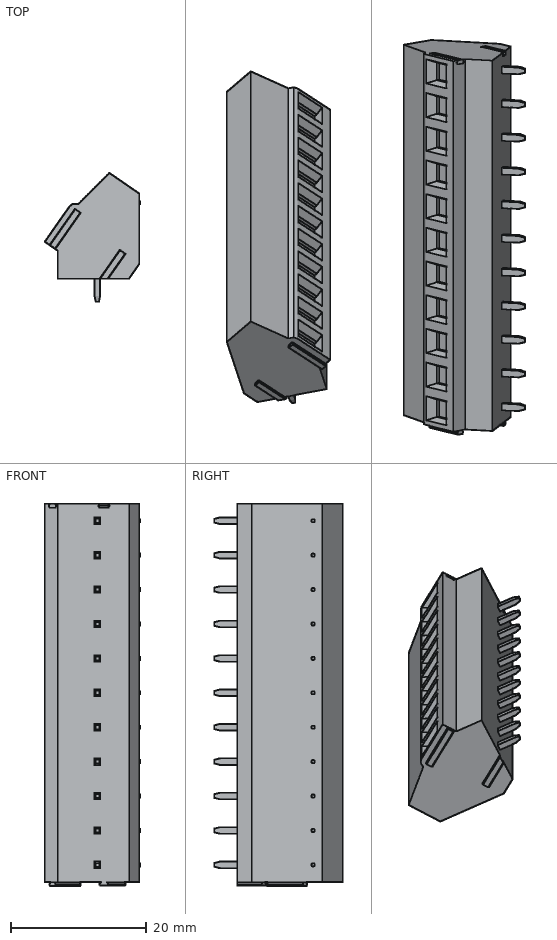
import cadquery as cq
import math

pole_count = 11
pitch = 5.08
housing_height = pole_count * pitch
pole_heights = [(index + 0.5) * pitch for index in range(pole_count)]

housing_width = 12.07
housing_depth = 15.63
apex_x = 7.65
right_wall_top_y = 12.58
right_chamfer_x = 1.52
right_chamfer_y = 2.18

slant_angle = 55
plate_corner = (-1.9, 5.46)
plate_face_top_y = 10.72
plate_top_y = 11.06
plate_top_bevel_x = 0.45

entry_width = 3.65
entry_floor_width = 2.65
entry_bottom_y = 6.77
entry_top_y = 10.58
entry_shoulder_along = 5.26
entry_shoulder_depth = 1.2
entry_floor_depth = 1.7

pin_x = 5.87
pin_width = 0.85
pin_height = 1.0
pin_length = 3.4
pin_tip_length = 0.85
pin_tip_width = 0.5
pin_tip_height = 0.55
pin_embedment = 0.5

pip_y = 11.22
pip_diameter = 0.5
pip_projection = 0.14

dovetail_wide = 1.15
dovetail_narrow = 0.7
dovetail_tip = 0.85
dovetail_wide_depth = 0.33
groove_depth = 0.6
groove_clearance = 0.2
plate_dovetail_end = (2.98, 10.02)
plate_dovetail_length = 6.5
plate_tongue_height = 0.6
base_dovetail_end = (9.6, 3.96)
base_dovetail_length = 8.0
base_tongue_height = 0.52

slant_x = math.cos(math.radians(slant_angle))
slant_y = math.sin(math.radians(slant_angle))


def plate_point(along, depth):
    """Point at a distance along the plate face and a depth square to it."""
    x = plate_corner[0] + along * slant_x + depth * slant_y
    y = plate_corner[1] + along * slant_y - depth * slant_x
    return (x, y)


def along_plate(y):
    """Distance along the plate face at which it reaches height y."""
    return (y - plate_corner[1]) / slant_y


def housing_outline():
    plate_face_top = plate_point(along_plate(plate_face_top_y), 0)
    plate_heel = plate_point(0, -plate_corner[0] / slant_y)
    roof_foot_x = apex_x - (housing_depth - plate_top_y)
    return [
        (0, 0),
        (housing_width - right_chamfer_x, 0),
        (housing_width, right_chamfer_y),
        (housing_width, right_wall_top_y),
        (apex_x, housing_depth),
        (roof_foot_x, plate_top_y),
        (plate_face_top[0] + plate_top_bevel_x, plate_top_y),
        plate_face_top,
        plate_corner,
        plate_heel,
    ]


def housing():
    return cq.Workplane("XY").polyline(housing_outline()).close().extrude(housing_height)


def wire_entry(z):
    """Funnel with its lower wall square to the plate and side flanks that close in with depth."""
    bottom = along_plate(entry_bottom_y)
    profile = [
        plate_point(bottom, 0),
        plate_point(along_plate(entry_top_y), 0),
        plate_point(entry_shoulder_along, entry_shoulder_depth),
        plate_point(entry_shoulder_along, entry_floor_depth),
        plate_point(bottom, entry_floor_depth),
    ]
    prism = (
        cq.Workplane("XY", origin=(0, 0, z - entry_width / 2))
        .polyline(profile)
        .close()
        .extrude(entry_width)
    )
    flanks_plane = cq.Plane(
        origin=(*plate_corner, z),
        xDir=(slant_y, -slant_x, 0),
        normal=(slant_x, slant_y, 0),
    )
    flanks = (
        cq.Workplane(flanks_plane)
        .polyline([
            (0, -entry_width / 2),
            (entry_shoulder_depth, -entry_floor_width / 2),
            (entry_floor_depth, -entry_floor_width / 2),
            (entry_floor_depth, entry_floor_width / 2),
            (entry_shoulder_depth, entry_floor_width / 2),
            (0, entry_width / 2),
        ])
        .close()
        .extrude(along_plate(entry_top_y))
    )
    return prism.intersect(flanks)


def pin(z):
    """Rectangular solder pin with a tapered tip, pointing towards -Y."""
    shank_length = pin_length - pin_tip_length
    shank = (
        cq.Workplane("XZ", origin=(pin_x, -shank_length, z))
        .rect(pin_width, pin_height)
        .extrude(-shank_length - pin_embedment)
    )
    tip = (
        cq.Workplane("XZ", origin=(pin_x, -shank_length, z))
        .rect(pin_width, pin_height)
        .workplane(offset=pin_tip_length)
        .rect(pin_tip_width, pin_tip_height)
        .loft()
    )
    return shank.union(tip)


def pip(z):
    return (
        cq.Workplane("YZ", origin=(housing_width, pip_y, z))
        .circle(pip_diameter / 2)
        .extrude(pip_projection)
    )


def dovetail(end, length, top_z, height, clearance=0):
    """Bar hanging from top_z, widest at mid-height, running from its upper end down the slant."""
    section_plane = cq.Plane(
        origin=(*end, top_z),
        xDir=(slant_y, -slant_x, 0),
        normal=(-slant_x, -slant_y, 0),
    )
    root_half = (dovetail_narrow + clearance) / 2
    wide_half = (dovetail_wide + clearance) / 2
    tip_half = (dovetail_tip + clearance) / 2
    section = [
        (-root_half, 0),
        (root_half, 0),
        (wide_half, -dovetail_wide_depth),
        (tip_half, -height),
        (-tip_half, -height),
        (-wide_half, -dovetail_wide_depth),
    ]
    return cq.Workplane(section_plane).polyline(section).close().extrude(length)


def groove(end, length):
    return dovetail(end, length, housing_height, groove_depth, groove_clearance)


def tongue(end, length, height):
    """Dovetail below the housing, trimmed flush with the -Y face."""
    trim_size = 2 * housing_depth
    trim = cq.Workplane("XY").box(trim_size, trim_size, trim_size, centered=(True, False, True))
    return dovetail(end, length, 0, height).intersect(trim)


result = housing()
for pole_z in pole_heights:
    result = result.cut(wire_entry(pole_z)).union(pin(pole_z)).union(pip(pole_z))
result = result.cut(groove(plate_dovetail_end, plate_dovetail_length))
result = result.cut(groove(base_dovetail_end, base_dovetail_length))
result = result.union(tongue(plate_dovetail_end, plate_dovetail_length, plate_tongue_height))
result = result.union(tongue(base_dovetail_end, base_dovetail_length, base_tongue_height))